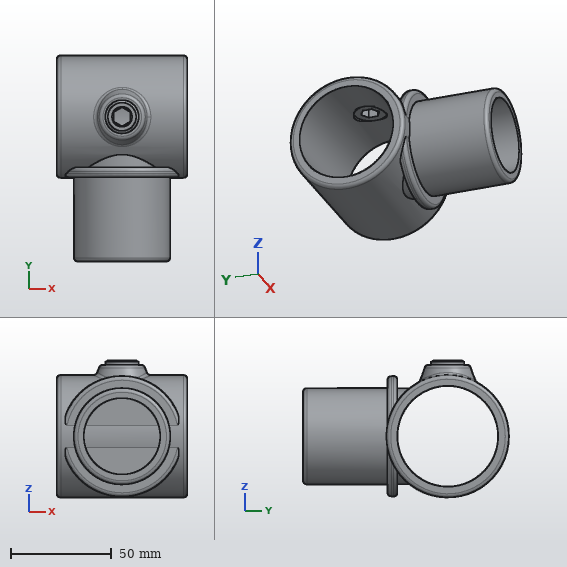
import cadquery as cq
import math

sleeve_length = 65.0
sleeve_diameter = 61.0
sleeve_bore = 50.0
sleeve_radius = sleeve_diameter / 2
edge_radius = 2.0

spigot_diameter = 48.0
spigot_bore = 38.0
spigot_end = 72.0

flange_diameter = 60.0
flange_face = 30.0
flange_thickness = 5.0

boss_height = 5.0
boss_top = sleeve_radius + boss_height
boss_top_radius = 11.0
boss_taper = 20.0
boss_root_radius = 2.0

screw_diameter = 16.66
screw_length = 12.7
screw_bottom = sleeve_bore / 2
screw_top = screw_bottom + screw_length
screw_chamfer_width = 1.3
screw_chamfer_height = 0.75
socket_across_flats = screw_diameter / 2
socket_mouth_diameter = 10.0


def cylinder_along_x(diameter, length):
    return cq.Workplane("YZ").circle(diameter / 2).extrude(length / 2, both=True)


def cylinder_along_y(diameter, start, end):
    """Cylinder reaching from y = -start to y = -end."""
    return cq.Workplane("XZ", origin=(0, -start, 0)).circle(diameter / 2).extrude(end - start)


def make_sleeve():
    return cylinder_along_x(sleeve_diameter, sleeve_length).edges().fillet(edge_radius)


def make_boss():
    """Cone with a rounded top edge, reaching down to the sleeve axis."""
    base_radius = boss_top_radius + boss_top * math.tan(math.radians(boss_taper))
    cone = cq.Solid.makeCone(base_radius, boss_top_radius, boss_top)
    return cq.Workplane(cone).faces(">Z").edges().fillet(edge_radius)


def blend_boss_root(body):
    """Fillet the seam where the boss cone meets the outside of the sleeve."""
    reach = sleeve_radius / 2
    seam_ceiling = sleeve_radius + boss_height / 2
    seam_zone = cq.selectors.BoxSelector(
        (-reach, -reach, sleeve_bore / 2), (reach, reach, seam_ceiling), boundingbox=True
    )
    return body.edges(seam_zone).fillet(boss_root_radius)


def make_flange():
    flange = cylinder_along_y(flange_diameter, flange_face - flange_thickness, flange_face)
    return flange.edges().fillet(edge_radius)


def make_spigot():
    return cylinder_along_y(spigot_diameter, 0, spigot_end).faces("<Y").edges().fillet(edge_radius)


def make_screw_hole():
    return cq.Workplane("XY").circle(screw_diameter / 2).extrude(boss_top)


def make_housing():
    body = blend_boss_root(make_sleeve().union(make_boss()))
    spigot_hole = cylinder_along_y(spigot_bore, flange_face, spigot_end)
    branch = make_flange().union(make_spigot()).cut(spigot_hole)
    body = body.union(branch)
    return body.cut(cylinder_along_x(sleeve_bore, sleeve_length)).cut(make_screw_hole())


def make_screw():
    """Chamfered plug with a hexagon socket running right through it."""
    radius = screw_diameter / 2
    blank = (
        cq.Workplane("XZ")
        .moveTo(0, screw_bottom)
        .lineTo(radius, screw_bottom)
        .lineTo(radius, screw_top - screw_chamfer_height)
        .lineTo(radius - screw_chamfer_width, screw_top)
        .lineTo(0, screw_top)
        .close()
        .revolve(360, (0, 0, 0), (0, 1, 0))
    )
    across_corners = socket_across_flats / math.cos(math.radians(30))
    socket = (
        cq.Workplane("XY", origin=(0, 0, screw_bottom))
        .transformed(rotate=(0, 0, 90))
        .polygon(6, across_corners)
        .extrude(screw_length)
    )
    mouth_radius = socket_mouth_diameter / 2
    mouth_tip = cq.Vector(0, 0, screw_top - mouth_radius)
    mouth = cq.Solid.makeCone(0, mouth_radius, mouth_radius, pnt=mouth_tip)
    return blank.cut(socket).cut(cq.Workplane(mouth))


housing = make_housing()
grub_screw = make_screw()

result = cq.Compound.makeCompound([housing.val(), grub_screw.val()])